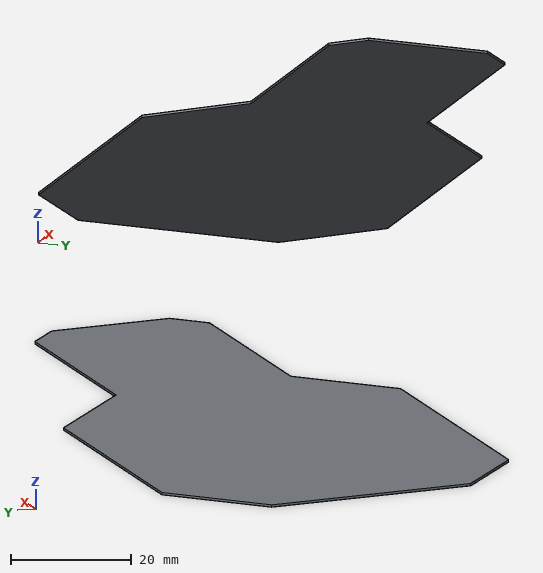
import cadquery as cq

LENGTH = 114.3
WIDTH = 60.96
THICKNESS = 0.41

TAB_LENGTH = 41.02
TAB_INSET_BACK = 15.75
TAB_INSET_FRONT = 13.97
TAB_CHAMFER = 5.08

BODY_CUT_BACK = 13.97
BODY_CUT_FRONT = 11.43

left = -LENGTH / 2
right = LENGTH / 2
front = -WIDTH / 2
back = WIDTH / 2
tab_start = right - TAB_LENGTH
tab_front = front + TAB_INSET_FRONT
tab_back = back - TAB_INSET_BACK


def plate_outline():
    """Corner points, counter-clockwise; every sloped edge runs at 45 degrees."""
    return [
        (left + BODY_CUT_FRONT, front),
        (tab_start - TAB_INSET_FRONT, front),
        (tab_start, tab_front),
        (right - TAB_CHAMFER, tab_front),
        (right, tab_front + TAB_CHAMFER),
        (right, tab_back - TAB_CHAMFER),
        (right - TAB_CHAMFER, tab_back),
        (tab_start, tab_back),
        (tab_start - TAB_INSET_BACK, back),
        (left + BODY_CUT_BACK, back),
        (left, back - BODY_CUT_BACK),
        (left, front + BODY_CUT_FRONT),
    ]


result = cq.Workplane("XY").polyline(plate_outline()).close().extrude(THICKNESS)